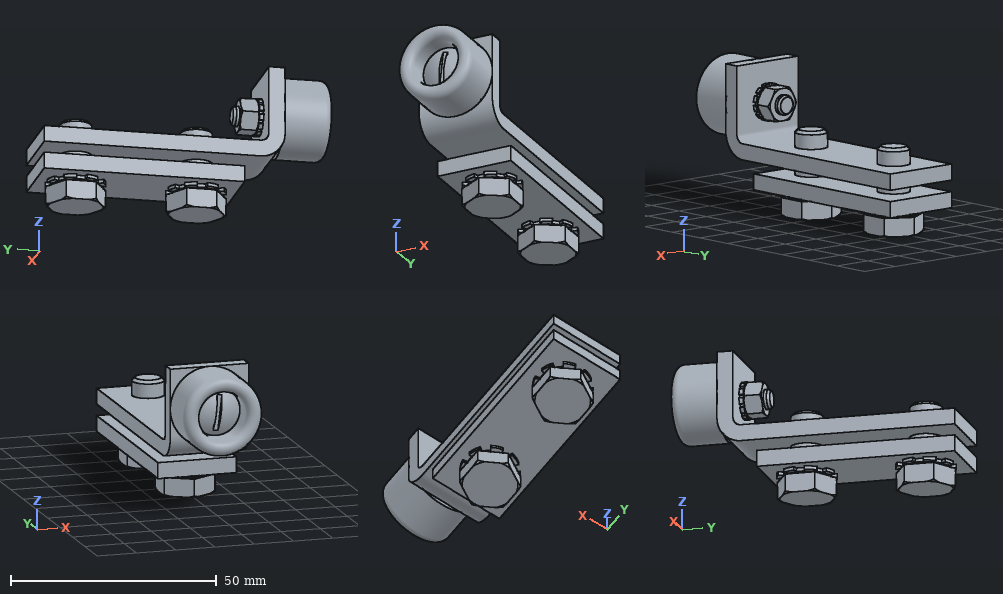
import cadquery as cq
import math


width = 20.0
plate_thickness = 4.0
bracket_length = 60.0
bracket_height = 23.0
bend_inner_radius = 2.0
bend_outer_radius = bend_inner_radius + plate_thickness
clamp_gap = 2.8
clamp_length = 49.95
clamp_top = -clamp_gap
clamp_bottom = clamp_top - plate_thickness

bolt_diameter = 8.0
bolt_end_distance = 10.0
bolt_spacing = 30.0
bolt_count = 2
bolt_protrusion = 4.4
bolt_tip_chamfer = 0.8
bolt_head_flats = 12.95
bolt_head_height = 4.7
bolt_head_chamfer_diameter = 13.5
bolt_collar_diameter = 11.65
bolt_collar_height = 0.6
bolt_washer_diameter = 14.75
bolt_washer_root_diameter = 12.0
bolt_washer_thickness = 0.85
bolt_washer_teeth = 8
bolt_washer_tooth_share = 0.55

ring_diameter = width
ring_length = 12.0
ring_bore = 12.0
ring_axis_z = bracket_height - ring_diameter / 2
screw_rim_distance = 5.5
screw_dome_height = 2.0
slot_width = 1.2
slot_half_length = 4.45
slot_tilt = 6.7
stud_diameter = 5.0
stud_protrusion = 7.05
stud_tip_length = 0.7
stud_tip_inset = 0.4
nut_flats = 8.0
nut_height = 4.45
nut_chamfer_diameter = 8.2
nut_washer_diameter = 9.3
nut_washer_root_diameter = 8.0
nut_washer_thickness = 1.1
nut_washer_teeth = 12
nut_washer_tooth_share = 0.65

hex_chamfer_angle = 30


def cylinder(diameter, bottom, height):
    return cq.Workplane("XY").workplane(offset=bottom).circle(diameter / 2).extrude(height)


def hexagon(flats, chamfer_diameter, bottom, height, chamfer_bottom):
    """Hexagon prism with corners on the X axis and cone-chamfered ends."""
    corner_radius = flats / math.sqrt(3)
    flat_radius = chamfer_diameter / 2
    drop = (corner_radius - flat_radius) * math.tan(math.radians(hex_chamfer_angle))
    top = bottom + height
    prism = cq.Workplane("XY").workplane(offset=bottom).polygon(6, 2 * corner_radius).extrude(height)
    envelope = cq.Workplane("XZ").moveTo(0, bottom)
    if chamfer_bottom:
        envelope = envelope.lineTo(flat_radius, bottom).lineTo(corner_radius, bottom + drop)
    else:
        envelope = envelope.lineTo(corner_radius, bottom)
    envelope = envelope.lineTo(corner_radius, top - drop).lineTo(flat_radius, top).lineTo(0, top)
    return prism.intersect(envelope.close().revolve(360, (0, 0, 0), (0, 1, 0)))


def toothed_washer(diameter, root_diameter, bottom, thickness, teeth, tooth_share):
    """Washer with radial-sided teeth around its rim and a gap on the X axis."""
    washer = cylinder(diameter, bottom, thickness)
    pitch = 360 / teeth
    half_gap = math.radians(pitch * (1 - tooth_share) / 2)
    gap = (
        cq.Workplane("XY").workplane(offset=bottom)
        .lineTo(diameter, diameter * math.tan(half_gap))
        .lineTo(diameter, -diameter * math.tan(half_gap))
        .close().extrude(thickness)
    )
    for i in range(teeth):
        washer = washer.cut(gap.rotate((0, 0, 0), (0, 0, 1), i * pitch))
    return washer.union(cylinder(root_diameter, bottom, thickness))


def make_bracket():
    outline = (
        cq.Workplane("YZ")
        .moveTo(0, bracket_height)
        .lineTo(0, bend_outer_radius)
        .radiusArc((bend_outer_radius, 0), -bend_outer_radius)
        .lineTo(bracket_length, 0)
        .lineTo(bracket_length, plate_thickness)
        .lineTo(bend_outer_radius, plate_thickness)
        .radiusArc((plate_thickness, bend_outer_radius), bend_inner_radius)
        .lineTo(plate_thickness, bracket_height)
        .close()
    )
    return outline.extrude(width / 2, both=True)


def make_clamp_plate():
    plate = cq.Workplane("XY").box(width, clamp_length, plate_thickness, centered=(True, False, False))
    return plate.translate((0, bracket_length - clamp_length, clamp_bottom))


def make_bolt():
    """Bolt on the Z axis: shank, toothed washer, collar and head."""
    washer_bottom = clamp_bottom - bolt_washer_thickness
    collar_bottom = washer_bottom - bolt_collar_height
    tip = plate_thickness + bolt_protrusion
    shank = cylinder(bolt_diameter, washer_bottom, tip - washer_bottom).faces(">Z").chamfer(bolt_tip_chamfer)
    washer = toothed_washer(
        bolt_washer_diameter, bolt_washer_root_diameter, washer_bottom, bolt_washer_thickness,
        bolt_washer_teeth, bolt_washer_tooth_share,
    )
    collar = cylinder(bolt_collar_diameter, collar_bottom, bolt_collar_height)
    head = hexagon(bolt_head_flats, bolt_head_chamfer_diameter, 0, bolt_head_height, False)
    head = head.rotate((0, 0, 0), (1, 0, 0), 180).rotate((0, 0, 0), (0, 0, 1), 90)
    return shank.union(washer).union(collar).union(head.translate((0, 0, collar_bottom)))


def make_ring():
    """Sleeve with a half-round front lip, holding a slotted screw with a domed head."""
    outer = ring_diameter / 2
    inner = ring_bore / 2
    lip_radius = (outer - inner) / 2
    lip_start = ring_length - lip_radius
    dome_top = screw_rim_distance + screw_dome_height
    dome_radius = (inner**2 + screw_dome_height**2) / (2 * screw_dome_height)
    profile = (
        cq.Workplane("XZ")
        .lineTo(outer, 0)
        .lineTo(outer, lip_start)
        .threePointArc((outer - lip_radius, ring_length), (inner, lip_start))
        .lineTo(inner, screw_rim_distance)
        .radiusArc((0, dome_top), -dome_radius)
        .close()
    )
    ring = profile.revolve(360, (0, 0, 0), (0, 1, 0))
    slot_floor = dome_top - dome_radius + math.sqrt(dome_radius**2 - slot_half_length**2)
    slot = (
        cq.Workplane("XY").workplane(offset=slot_floor)
        .rect(slot_width, 2 * slot_half_length).extrude(screw_dome_height)
        .rotate((0, 0, 0), (0, 0, 1), -slot_tilt)
    )
    return ring.cut(slot).rotate((0, 0, 0), (1, 0, 0), 90).translate((0, 0, ring_axis_z))


def make_nut_and_stud():
    """Stud end, nut and toothed washer behind the short leg of the bracket."""
    stud = cylinder(stud_diameter, 0, stud_protrusion)
    stud = stud.faces(">Z").chamfer(stud_tip_length, stud_tip_inset)
    washer = toothed_washer(
        nut_washer_diameter, nut_washer_root_diameter, 0, nut_washer_thickness,
        nut_washer_teeth, nut_washer_tooth_share,
    )
    nut = hexagon(nut_flats, nut_chamfer_diameter, nut_washer_thickness, nut_height, True)
    assembly = stud.union(washer).union(nut)
    return assembly.rotate((0, 0, 0), (1, 0, 0), -90).translate((0, plate_thickness, ring_axis_z))


result = make_bracket().union(make_clamp_plate()).union(make_ring()).union(make_nut_and_stud())
bolt = make_bolt()
for i in range(bolt_count):
    bolt_y = bracket_length - bolt_end_distance - i * bolt_spacing
    result = result.union(bolt.translate((0, bolt_y, 0)))